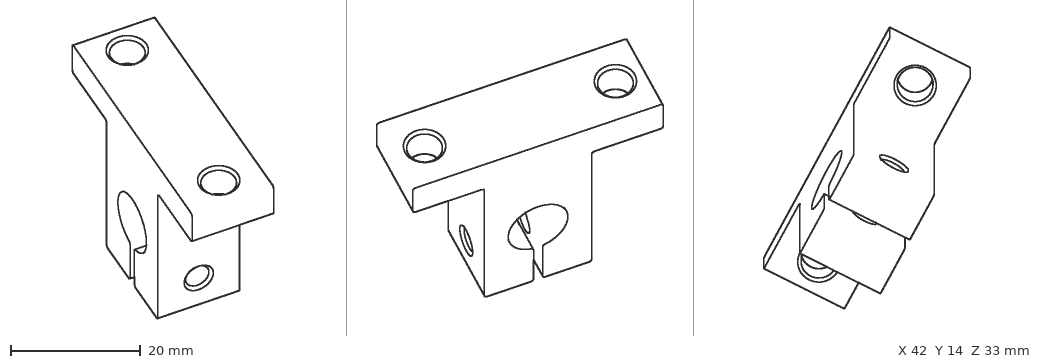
import cadquery as cq

flange_width = 42.0
depth = 14.0
height = 33.0
flange_thickness = 6.0
stem_width = 18.0
edge_radius = 0.5

bore_diameter = 10.0
bore_height = 13.0
slot_width = 1.5

mount_diameter = 5.5
mount_spacing = 32.0

screw_diameter = 4.0
screw_height = 6.0

hole_chamfer = 0.5

flange_bottom = height - flange_thickness


def make_profile_body():
    """T-shaped block with the bore, the slot and all their rounded edges along Y."""
    stem = cq.Workplane("XY").box(stem_width, depth, height, centered=(True, True, False))
    flange = (
        cq.Workplane("XY")
        .workplane(offset=flange_bottom)
        .box(flange_width, depth, flange_thickness, centered=(True, True, False))
    )
    bore = (
        cq.Workplane("XZ")
        .center(0, bore_height)
        .circle(bore_diameter / 2)
        .extrude(depth / 2, both=True)
    )
    slot = cq.Workplane("XY").box(slot_width, depth, bore_height, centered=(True, True, False))
    body = stem.union(flange).cut(bore).cut(slot)
    return body.edges("|Y").fillet(edge_radius)


def chamfered_hole(plane, diameter, length):
    """Cutter centred on the plane origin, flared at both ends by the hole chamfer."""
    radius = diameter / 2
    half_length = length / 2
    cutter = cq.Workplane(plane).circle(radius).extrude(half_length, both=True)
    for side in (-1, 1):
        flare = (
            cq.Workplane(plane)
            .workplane(offset=side * half_length)
            .circle(radius + hole_chamfer)
            .workplane(offset=-side * hole_chamfer)
            .circle(radius)
            .loft(ruled=True)
        )
        cutter = cutter.union(flare)
    return cutter


result = make_profile_body()

mount_cutter = chamfered_hole("XY", mount_diameter, flange_thickness)
for side in (-1, 1):
    mount_place = (side * mount_spacing / 2, 0, height - flange_thickness / 2)
    result = result.cut(mount_cutter.translate(mount_place))

screw_cutter = chamfered_hole("YZ", screw_diameter, stem_width)
result = result.cut(screw_cutter.translate((0, 0, screw_height)))